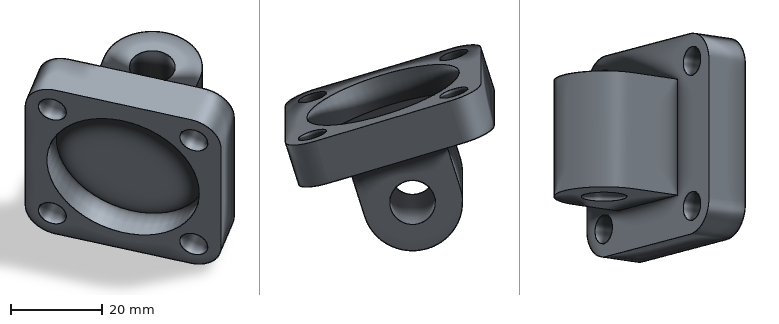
import cadquery as cq

flange_side = 45.0
flange_thickness = 10.0
flange_corner_radius = 7.0

mount_hole_diameter = 6.4
mount_hole_spacing = 32.5

recess_diameter = 35.0
recess_depth = 7.0

lug_width = 22.0
lug_height = 26.0
eye_diameter = 10.0
eye_distance = 22.0


def front_plane():
    """Plane of the flange front face, with its normal pointing into the part (+Y)."""
    return cq.Workplane(cq.Plane(origin=(0, 0, 0), xDir=(1, 0, 0), normal=(0, 1, 0)))


def lug_plane():
    """Horizontal plane at the bottom of the lug."""
    return cq.Workplane("XY", origin=(0, 0, -lug_height / 2))


def make_flange():
    """Square plate with rounded corners."""
    plate = front_plane().rect(flange_side, flange_side).extrude(flange_thickness)
    return plate.edges("|Y").fillet(flange_corner_radius)


def make_lug():
    """Straight-sided lug with a half-round end concentric with the eye."""
    half_width = lug_width / 2
    return (
        lug_plane()
        .moveTo(-half_width, flange_thickness)
        .lineTo(half_width, flange_thickness)
        .lineTo(half_width, eye_distance)
        .threePointArc((0, eye_distance + half_width), (-half_width, eye_distance))
        .close()
        .extrude(lug_height)
    )


def make_mount_holes():
    """Four through holes in a square pattern."""
    return (
        front_plane()
        .rect(mount_hole_spacing, mount_hole_spacing, forConstruction=True)
        .vertices()
        .circle(mount_hole_diameter / 2)
        .extrude(flange_thickness)
    )


def make_recess():
    """Shallow round pocket centred on the flange."""
    return front_plane().circle(recess_diameter / 2).extrude(recess_depth)


def make_eye():
    """Pivot hole through the full height of the lug."""
    return lug_plane().center(0, eye_distance).circle(eye_diameter / 2).extrude(lug_height)


result = (
    make_flange()
    .union(make_lug())
    .cut(make_mount_holes())
    .cut(make_recess())
    .cut(make_eye())
)